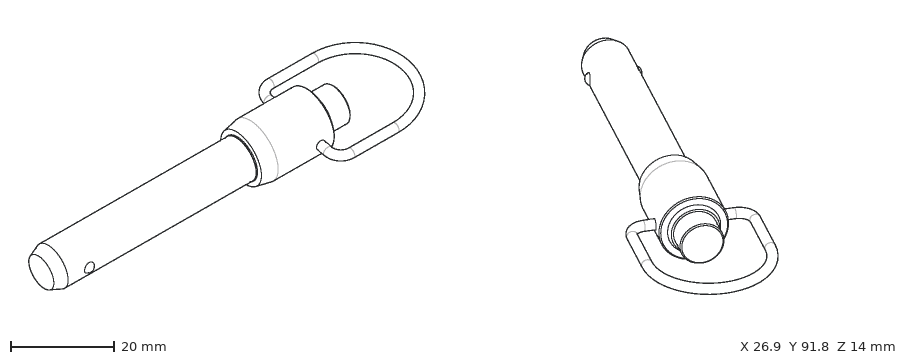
import cadquery as cq
import math

overall_length = 91.8
overall_width = 26.9

shank_radius = 5.0
tip_radius = 3.9
tip_taper_length = 2.7

handle_radius = 7.0
handle_nose_radius = 6.2
handle_nose_y = 49.9
handle_taper_y = 53.4
handle_top_y = 67.7
handle_edge_chamfer = 0.3

shoulder_radius = 5.05
shoulder_length = 0.3

collar_top_radius = 4.9
collar_base_radius = 5.3
collar_length = 1.0
button_radius = 4.4
button_top_y = 73.7
button_edge_chamfer = 0.3

ball_radius = 1.4
ball_reach = 5.7
ball_y = 8.0

wire_radius = 1.1
wire_end_y = 64.1
ring_corner_radius = 3.2
wire_embed_depth = 1.8


def make_body():
    """Shank, shoulder, handle, collar and button turned as one solid about Y."""
    collar_top_y = handle_top_y + collar_length
    shoulder_y = handle_nose_y - shoulder_length
    return (
        cq.Workplane("XY")
        .lineTo(tip_radius, 0)
        .lineTo(shank_radius, tip_taper_length)
        .lineTo(shank_radius, shoulder_y)
        .lineTo(shoulder_radius, shoulder_y)
        .lineTo(shoulder_radius, handle_nose_y)
        .lineTo(handle_nose_radius, handle_nose_y)
        .lineTo(handle_radius, handle_taper_y)
        .lineTo(handle_radius, handle_top_y - handle_edge_chamfer)
        .lineTo(handle_radius - handle_edge_chamfer, handle_top_y)
        .lineTo(collar_base_radius, handle_top_y)
        .lineTo(collar_top_radius, collar_top_y)
        .lineTo(button_radius, collar_top_y)
        .lineTo(button_radius, button_top_y - button_edge_chamfer)
        .lineTo(button_radius - button_edge_chamfer, button_top_y)
        .lineTo(0, button_top_y)
        .close()
        .revolve(360, (0, 0, 0), (0, 1, 0))
    )


def make_ring():
    """Round wire bent into a half circle, two legs and two inward ends set in the handle."""
    leg_x = overall_width / 2 - wire_radius
    bow_center_y = overall_length - overall_width / 2
    leg_bottom_y = wire_end_y + ring_corner_radius
    bend_end_x = leg_x - ring_corner_radius
    bend_middle_offset = ring_corner_radius * math.sqrt(0.5)
    bend_middle_x = bend_end_x + bend_middle_offset
    bend_middle_y = leg_bottom_y - bend_middle_offset
    wire_end_x = handle_radius - wire_embed_depth

    path = (
        cq.Workplane("XY")
        .moveTo(-wire_end_x, wire_end_y)
        .lineTo(-bend_end_x, wire_end_y)
        .threePointArc((-bend_middle_x, bend_middle_y), (-leg_x, leg_bottom_y))
        .lineTo(-leg_x, bow_center_y)
        .threePointArc((0, bow_center_y + leg_x), (leg_x, bow_center_y))
        .lineTo(leg_x, leg_bottom_y)
        .threePointArc((bend_middle_x, bend_middle_y), (bend_end_x, wire_end_y))
        .lineTo(wire_end_x, wire_end_y)
    )
    return (
        cq.Workplane("YZ", origin=(-wire_end_x, wire_end_y, 0))
        .circle(wire_radius)
        .sweep(path)
    )


def make_ball(side):
    """Locking ball standing out of the shank on the given X side."""
    ball_center_x = side * (ball_reach - ball_radius)
    return cq.Workplane("XY").sphere(ball_radius).translate((ball_center_x, ball_y, 0))


result = make_body().union(make_ring())
for side in (-1, 1):
    result = result.union(make_ball(side))